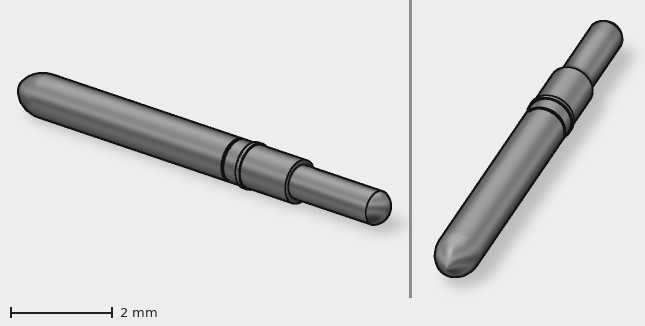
import cadquery as cq
import math

total_length = 9.47
nose_length = 0.66
groove_start = 5.58
groove_width = 0.06
ring_start = 5.97
ring_width = 0.09
barrel_end = 7.23
dome_length = 0.25

barrel_radius = 0.9 / 2
groove_radius = barrel_radius - 0.03
ring_radius = 0.96 / 2
pin_radius = 0.7 / 2
tip_radius = 0.09


def on_circle(center, radius, angle):
    return (center[0] + radius * math.cos(angle), center[1] + radius * math.sin(angle))


ogive_radius = (nose_length**2 + barrel_radius**2 - 2 * nose_length * tip_radius) / (
    2 * (barrel_radius - tip_radius)
)
ogive_center = (nose_length, barrel_radius - ogive_radius)
tip_center = (tip_radius, 0.0)
blend_angle = math.atan2(tip_center[1] - ogive_center[1], tip_center[0] - ogive_center[0])
blend_point = on_circle(tip_center, tip_radius, blend_angle)
tip_middle = on_circle(tip_center, tip_radius, (math.pi + blend_angle) / 2)
ogive_middle = on_circle(ogive_center, ogive_radius, (blend_angle + math.pi / 2) / 2)

dome_start = total_length - dome_length
dome_radius = (pin_radius**2 + dome_length**2) / (2 * dome_length)
dome_center = (total_length - dome_radius, 0.0)
dome_half_angle = math.asin(pin_radius / dome_radius)
dome_middle = on_circle(dome_center, dome_radius, dome_half_angle / 2)

body = (
    cq.Workplane("XY")
    .moveTo(0, 0)
    .threePointArc(tip_middle, blend_point)
    .threePointArc(ogive_middle, (nose_length, barrel_radius))
    .lineTo(barrel_end, barrel_radius)
    .lineTo(barrel_end, pin_radius)
    .lineTo(dome_start, pin_radius)
    .threePointArc(dome_middle, (total_length, 0))
    .close()
    .revolve(360, (0, 0, 0), (1, 0, 0))
)


def disc(start, width, radius):
    return cq.Workplane("YZ").workplane(offset=start).circle(radius).extrude(width)


ring = disc(ring_start, ring_width, ring_radius)

groove = disc(groove_start, groove_width, ring_radius).cut(
    disc(groove_start, groove_width, groove_radius)
)

result = body.union(ring).cut(groove)